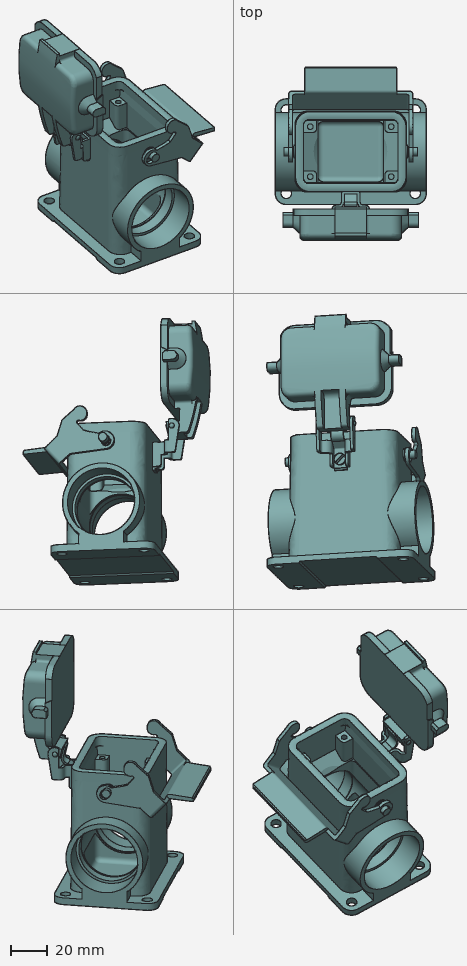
import cadquery as cq
import math

FLANGE_X = 82.0
FLANGE_Y = 57.4
FLANGE_T = 4.0
FLANGE_CORNER_R = 6.0
FLANGE_HOLE_D = 5.6
FLANGE_HOLE_X = 35.0
FLANGE_HOLE_Y = 22.6
FOOT_GAP_X = 43.9
FOOT_GAP_H = 0.9
FOOT_GAP_SLOPE = 0.8

BODY_BASE = (62.1, 44.0)
BODY_TOP = (59.8, 43.2)
BODY_CORNER_R = 7.6
RIM_Z = 67.8
RIM_EDGE_Z = 73.5
RIM_CROWN = 0.4
RIM_W = 4.3

TUBE_Z = 27.1
TUBE_D = 42.5
TUBE_MOUTH_D = 37.0
TUBE_MOUTH_DEPTH = 14.6
TUBE_BORE_D = 34.0
TUBE_RECESS_D = 34.8
TUBE_RECESS_SPAN = 38.8
TUBE_WEB_Y = 24.9

OPENING = (BODY_TOP[0] - 2 * RIM_W, BODY_TOP[1] - 2 * RIM_W)
OPENING_STEP_Z = 68.0
POST_TOP_Z = 62.7
THROAT_Y = 33.6
FUNNEL_BOTTOM_Z = 46.5
FUNNEL_ANGLE = 33.0
CAVITY_X = 35.6
CAVITY_Y = 32.7
CAVITY_CORNER_R = 2.9
BULGE_DEPTH = 2.1
BULGE_R = 34.5
BULGE_BOTTOM_Z = 45.5
POST_X = 18.5
POST_Y = 10.4
POST_R = 2.3
POST_HOLE_D = 3.0
POST_HOLE_X = 22.0
POST_HOLE_Y = 13.5
POST_HOLE_DEPTH = 10.6

PIVOT_Z = 64.1
PIVOT_D = 4.8
PIVOT_SPAN = 72.6
PIVOT_BOSS_D = 7.0
PIVOT_BOSS_SPAN = 61.4
PIVOT_NECK_D = 5.6
PIVOT_NECK_SPAN = 62.7

SHEET_T = 2.1
LEVER_X = 67.3
LEVER_BEND_R = 1.7
LEVER_INNER_R = 1.3
EYE_Y = -0.8
EYE_Z = 62.9
EYE_R = 4.9
SHOULDER_LOW = (31.0, 61.0)
SHOULDER_HIGH = (25.7, 66.1)
NECK = (22.9, 75.0)
HOOK_BACK = (16.4, 80.5)
HOOK_TOP = (13.0, 82.4)
HOOK_FRONT = (9.3, 79.0)
HOOK_NOSE_Z = 77.4
HOOK_NOSE = (10.5, 75.1)
HOOK_UNDERSIDE = (13.2, 74.3)
NOTCH_ARC = ((14.6, 74.0), (14.8, 73.1))
ARM_ROOT = (11.2, 69.0)
ARM_BEND = (8.4, 68.0)
EYE_TOP = (2.4, 66.7)
ARM_LOWER_BEND = (18.3, 56.1)
SLOT_SHIFT = (-1.6, -2.0)
BACK_LOW = (24.6, 50.7)
BACK_HIGH = (32.8, 59.5)
HANDLE_X = 50.0
HANDLE_ROOT = 5.3
HANDLE_END = (46.0, 58.8)
HANDLE_BEND_TOP = (32.2, 62.2)
HANDLE_SETBACK = 0.5
HANDLE_BEND_R = 1.9
HANDLE_CORNER_R = 1.2
HANDLE_TIP_BEVEL = 0.7

LID_BACK_Y = -31.0
LID_PLATE_T = 3.7
LID_TOP_Z = 131.3
LID_BOTTOM_Z = 84.7
LID_UPPER_X = 61.3
LID_LOWER_X = 62.7
LID_CORNER_R = 8.8
LID_STEP_Z = 114.0
LID_STEP_SLOPE = 1.9

DOME_X = 55.3
DOME_TOP_Z = 127.4
DOME_BOTTOM_Z = 88.5
DOME_CORNER_R = 5.5
DOME_EDGE_R = 2.5
FRONT_Y = -48.3
FRONT_R = 115.7
FRONT_APEX_Z = 109.0

TAB_X = 17.3
TAB_TOP_Z = 131.5
TAB_LIP_Z = 133.0
TAB_LIP_Y = -44.1
TAB_CORNER_R = 1.5
ARM_BACK_Y = -37.5
ARM_BOTTOM_Z = 71.3
ARM_TOE_R = 1.6
ARM_INNER_R = 0.7
ARM_SLOT_X = 10.1
ARM_SLOT_TOP_Z = 90.9
ARM_SLOT_FLOOR_Y = -39.1
ARM_SLOT_R = 3.6

PEG_Z = 108.0
PEG_Y = -38.5
PEG_BACK_Y = -33.0
PEG_R = 2.46
PEG_CHAMFER = 1.3
PEG_SPAN = 73.6
PEG_CONE_R = 5.8
PEG_CONE_SPAN = 62.5

HINGE_T = 1.6
HINGE_BASE_Y = -21.4
HINGE_CHANNEL_X = 10.2
HINGE_X = 20.5
HINGE_WING_Y = -28.8
HINGE_BEND_R = 1.6
HINGE_BASE_BEND_R = 1.5
HINGE_TOP_Z = 67.1
HINGE_WING_Z = 60.2
HINGE_BASE_Z = 53.7
HINGE_CHANNEL_Y = -26.6
HINGE_BASE_R = 1.7
EAR_FOOT_R = 0.9
TONGUE_BOTTOM_Z = 52.0
EAR_BACK_Y = -31.5
EAR_FOOT_Y = -35.1
PIN_Y = -33.4
PIN_Z = 74.8
PIN_D = 3.0
PIN_SPAN = 22.1
PIN_DOME = 1.2
EAR_R = 4.0
KNUCKLE_R = 2.8
HEEL_TOP_Y = -29.9
HEEL_LOW = (-31.0, 72.5)

SPRING_X = 7.0
SPRING_BOTTOM_Z = 52.9
SPRING_BACK_Y = -22.9
SPRING_FRONT_Y = -23.9
SPRING_BEND_Z = 64.1
SPRING_RISE_BACK = (-27.4, 67.7)
SPRING_CURL_BACK = ((-29.6, 68.7), (-30.3, 70.6))
SPRING_TIP_BACK = (-28.8, 76.8)
SPRING_TIP_FRONT = (-29.8, 77.1)
SPRING_CURL_FRONT = (-31.2, 70.6)
SPRING_RISE_FRONT = ((-30.5, 68.0), (-27.9, 66.7))
SPRING_BEND_FRONT = (-24.3, 64.0)
SPRING_SEAT_ARC = ((-24.0, 63.7), (SPRING_FRONT_Y, 63.1))
SCREW_D = 6.4
SCREW_HEAD_T = 1.2
SCREW_Z = 57.7
SCREW_SLOT_W = 1.0
SCREW_SLOT_ANGLE = 45
SCREW_SLOT_DEPTH = 0.5

FUNNEL_SLOPE = math.tan(math.radians(FUNNEL_ANGLE))
FAR = 133.0


def rounded_block(size, corner_r, z0, z1):
    """Upright block centred on the Z axis with rounded vertical edges."""
    block = cq.Workplane().workplane(offset=z0).rect(*size).extrude(z1 - z0)
    return block.edges("|Z").fillet(corner_r)


def rounded_rect_sketch(size, corner_r):
    return cq.Sketch().rect(*size).vertices().fillet(corner_r)


def x_cylinder(y, z, diameter, span):
    """Cylinder along X, centred on the middle plane."""
    return cq.Workplane("YZ").center(y, z).circle(diameter / 2).extrude(span / 2, both=True)


def side_prism(points, span):
    """Prism of a (Y, Z) polygon, centred on the middle plane."""
    return cq.Workplane("YZ").polyline(points).close().extrude(span / 2, both=True)


def box_between(x, y, z):
    """Box from three (low, high) ranges."""
    size = [high - low for low, high in (x, y, z)]
    return cq.Workplane().box(*size, centered=False).translate((x[0], y[0], z[0]))


def flange():
    plate = rounded_block((FLANGE_X, FLANGE_Y), FLANGE_CORNER_R, 0, FLANGE_T)
    holes = cq.Workplane().rect(2 * FLANGE_HOLE_X, 2 * FLANGE_HOLE_Y, forConstruction=True).vertices()
    plate = plate.cut(holes.circle(FLANGE_HOLE_D / 2).extrude(FLANGE_T))
    half = FOOT_GAP_X / 2
    inner = half - FOOT_GAP_SLOPE
    outline = [(-half, 0), (-inner, FOOT_GAP_H), (inner, FOOT_GAP_H), (half, 0)]
    channel = cq.Workplane("XZ").polyline(outline).close().extrude(FAR / 2, both=True)
    return plate.cut(channel)


def tapered_body():
    raised = cq.Location(cq.Vector(0, 0, RIM_Z - FOOT_GAP_H))
    lower = (
        cq.Workplane()
        .workplane(offset=FOOT_GAP_H)
        .placeSketch(
            rounded_rect_sketch(BODY_BASE, BODY_CORNER_R),
            rounded_rect_sketch(BODY_TOP, BODY_CORNER_R).moved(raised),
        )
        .loft(ruled=True)
    )
    return lower.union(rounded_block(BODY_TOP, BODY_CORNER_R, RIM_Z, RIM_EDGE_Z))


def rim_crown():
    """Low rounded bead along the top of the rim."""
    middle_size = (BODY_TOP[0] - RIM_W, BODY_TOP[1] - RIM_W)
    path = rounded_block(middle_size, BODY_CORNER_R - RIM_W / 2, RIM_Z, RIM_EDGE_Z).faces(">Z").wires()
    inner_x = OPENING[0] / 2
    outer_x = BODY_TOP[0] / 2
    profile = (
        cq.Workplane("XZ")
        .moveTo(inner_x, RIM_EDGE_Z)
        .threePointArc(((inner_x + outer_x) / 2, RIM_EDGE_Z + RIM_CROWN), (outer_x, RIM_EDGE_Z))
        .close()
    )
    return profile.sweep(path)


def corner_posts():
    """Four screw posts in the corners of the opening."""
    posts = cq.Workplane()
    size_x = OPENING[0] / 2 - POST_X
    size_y = OPENING[1] / 2 - POST_Y
    for side_x in (-1, 1):
        for side_y in (-1, 1):
            post = cq.Workplane().box(size_x, size_y, POST_TOP_Z - FLANGE_T, centered=(True, True, False))
            inner_edge = f"{'<' if side_x > 0 else '>'}X and {'<' if side_y > 0 else '>'}Y"
            post = post.edges("|Z").edges(inner_edge).fillet(POST_R)
            place = (side_x * (POST_X + size_x / 2), side_y * (POST_Y + size_y / 2), FLANGE_T)
            posts = posts.add(post.translate(place))
    return posts.combine()


def cavity():
    opening = rounded_block(OPENING, BODY_CORNER_R - RIM_W, OPENING_STEP_Z, RIM_EDGE_Z + RIM_CROWN)
    half_x = OPENING[0] / 2
    half_y = OPENING[1] / 2
    throat_half = THROAT_Y / 2
    funnel_top_z = FUNNEL_BOTTOM_Z + (half_x - CAVITY_X / 2) * FUNNEL_SLOPE
    throat = side_prism(
        [
            (-throat_half, POST_TOP_Z),
            (throat_half, POST_TOP_Z),
            (half_y, OPENING_STEP_Z),
            (-half_y, OPENING_STEP_Z),
        ],
        OPENING[0],
    )
    funnel_outline = [
        (-CAVITY_X / 2, FUNNEL_BOTTOM_Z),
        (CAVITY_X / 2, FUNNEL_BOTTOM_Z),
        (half_x, funnel_top_z),
        (half_x, POST_TOP_Z),
        (-half_x, POST_TOP_Z),
        (-half_x, funnel_top_z),
    ]
    funnel = cq.Workplane("XZ").polyline(funnel_outline).close().extrude(throat_half, both=True)
    lower = (
        cq.Workplane()
        .workplane(offset=FLANGE_T)
        .rect(CAVITY_X, CAVITY_Y)
        .extrude(FUNNEL_BOTTOM_Z - FLANGE_T)
        .edges("|Z or <Z")
        .fillet(CAVITY_CORNER_R)
    )
    return opening.union(throat).union(funnel.cut(corner_posts())).union(lower)


def wall_bulges():
    """Conical hollows in both end walls, flaring upwards to the sloping faces."""
    top_z = FUNNEL_BOTTOM_Z + BULGE_DEPTH * FUNNEL_SLOPE
    axis_x = CAVITY_X / 2 + BULGE_DEPTH - BULGE_R
    cone = cq.Workplane(
        cq.Solid.makeCone(
            BULGE_R - BULGE_DEPTH,
            BULGE_R,
            top_z - BULGE_BOTTOM_Z,
            pnt=cq.Vector(axis_x, 0, BULGE_BOTTOM_Z),
        )
    )
    right = cone.intersect(
        box_between((0, FAR), (-CAVITY_Y / 2, CAVITY_Y / 2), (BULGE_BOTTOM_Z, top_z))
    )
    return right.union(right.mirror("YZ"))


def post_holes():
    return (
        cq.Workplane()
        .workplane(offset=POST_TOP_Z - POST_HOLE_DEPTH)
        .rect(2 * POST_HOLE_X, 2 * POST_HOLE_Y, forConstruction=True)
        .vertices()
        .circle(POST_HOLE_D / 2)
        .extrude(POST_HOLE_DEPTH)
    )


def tube_mouths():
    """Wider outer ends of the cable entry bore."""
    inside = FLANGE_X - 2 * TUBE_MOUTH_DEPTH
    return x_cylinder(0, TUBE_Z, TUBE_MOUTH_D, FLANGE_X).cut(x_cylinder(0, TUBE_Z, TUBE_MOUTH_D, inside))


def make_housing():
    web = cq.Workplane().box(FLANGE_X, TUBE_WEB_Y, TUBE_Z - FLANGE_T, centered=(True, True, False))
    shell = (
        flange()
        .union(tapered_body())
        .union(rim_crown())
        .union(x_cylinder(0, TUBE_Z, TUBE_D, FLANGE_X))
        .union(web.translate((0, 0, FLANGE_T)))
        .union(x_cylinder(0, PIVOT_Z, PIVOT_BOSS_D, PIVOT_BOSS_SPAN))
        .union(x_cylinder(0, PIVOT_Z, PIVOT_NECK_D, PIVOT_NECK_SPAN))
        .union(x_cylinder(0, PIVOT_Z, PIVOT_D, PIVOT_SPAN))
    )
    return (
        shell.cut(cavity())
        .cut(wall_bulges())
        .cut(post_holes())
        .cut(tube_mouths())
        .cut(x_cylinder(0, TUBE_Z, TUBE_RECESS_D, TUBE_RECESS_SPAN))
        .cut(x_cylinder(0, TUBE_Z, TUBE_BORE_D, FLANGE_X))
    )


def lever_outline():
    """Side outline as one solid block over the full lever width."""
    return (
        cq.Workplane("YZ")
        .moveTo(*BACK_LOW)
        .lineTo(*BACK_HIGH)
        .lineTo(*SHOULDER_LOW)
        .lineTo(*SHOULDER_HIGH)
        .lineTo(*NECK)
        .lineTo(*HOOK_BACK)
        .threePointArc(HOOK_TOP, HOOK_FRONT)
        .lineTo(HOOK_FRONT[0], HOOK_NOSE_Z)
        .threePointArc(HOOK_NOSE, HOOK_UNDERSIDE)
        .threePointArc(*NOTCH_ARC)
        .lineTo(*ARM_ROOT)
        .lineTo(*ARM_BEND)
        .lineTo(*EYE_TOP)
        .threePointArc((EYE_Y - EYE_R, EYE_Z), (EYE_Y, EYE_Z - EYE_R))
        .lineTo(*ARM_LOWER_BEND)
        .close()
        .extrude(LEVER_X / 2, both=True)
    )


def along_back(inset, slide):
    """Point (Y, Z) moved inwards from the upper outer edge of the back plate and slid along the plate."""
    run_y = BACK_HIGH[0] - BACK_LOW[0]
    run_z = BACK_HIGH[1] - BACK_LOW[1]
    length = math.hypot(run_y, run_z)
    y = BACK_HIGH[0] + (slide * run_y - inset * run_z) / length
    z = BACK_HIGH[1] + (slide * run_z + inset * run_y) / length
    return (y, z)


def lever_frame():
    """Two side plates joined by the sloping back plate, with rounded bends."""
    block = lever_outline()
    back_middle_y = (BACK_LOW[0] + BACK_HIGH[0]) / 2
    back_middle_z = (BACK_LOW[1] + BACK_HIGH[1]) / 2
    for side in (-1, 1):
        corner = cq.selectors.NearestToPointSelector((side * LEVER_X / 2, back_middle_y, back_middle_z))
        block = block.edges(corner).fillet(LEVER_BEND_R)
    inside = side_prism(
        [
            along_back(SHEET_T, -FAR),
            along_back(SHEET_T, FAR),
            along_back(FAR, FAR),
            along_back(FAR, -FAR),
        ],
        LEVER_X - 2 * SHEET_T,
    )
    inside = inside.faces(">(0, 1, -1)").edges("not |X").fillet(LEVER_INNER_R)
    return block.cut(inside)


def lever_handle():
    handle = side_prism(
        [
            HANDLE_BEND_TOP,
            along_back(SHEET_T, -HANDLE_SETBACK),
            along_back(SHEET_T, -HANDLE_ROOT),
            along_back(0, -HANDLE_ROOT),
            BACK_HIGH,
            HANDLE_END,
            (HANDLE_END[0], HANDLE_END[1] + SHEET_T),
        ],
        HANDLE_X,
    )
    bend = cq.selectors.NearestToPointSelector((0, *HANDLE_BEND_TOP))
    handle = handle.edges("|X").edges(bend).fillet(HANDLE_BEND_R)
    handle = handle.faces(">Y").edges("|X").edges(">Z").chamfer(HANDLE_TIP_BEVEL)
    return handle.faces(">Y").edges("|Z").fillet(HANDLE_CORNER_R)


def eye_slot():
    """Slanted slot through both eyes, with its upper end on the pivot pin."""
    return (
        cq.Workplane("YZ")
        .center(SLOT_SHIFT[0] / 2, PIVOT_Z + SLOT_SHIFT[1] / 2)
        .slot2D(
            math.hypot(*SLOT_SHIFT) + PIVOT_D,
            PIVOT_D,
            math.degrees(math.atan2(SLOT_SHIFT[1], SLOT_SHIFT[0])),
        )
        .extrude(FAR / 2, both=True)
    )


def make_lever():
    return lever_frame().union(lever_handle()).cut(eye_slot())


def upright_plate(width, z0, z1, corner_r, y_back, depth):
    """Plate facing -Y with four rounded corners."""
    plate = box_between((-width / 2, width / 2), (y_back - depth, y_back), (z0, z1))
    return plate.edges("|Y").fillet(corner_r)


def front_curve():
    """Large cylinder whose surface is the curved front of the lid."""
    return x_cylinder(FRONT_Y + FRONT_R, FRONT_APEX_Z, 2 * FRONT_R, FAR)


def lid_plate():
    plate = upright_plate(LID_LOWER_X, LID_BOTTOM_Z, LID_TOP_Z, LID_CORNER_R, LID_BACK_Y, LID_PLATE_T)
    front_y = LID_BACK_Y - LID_PLATE_T
    above_step = [
        (LID_BACK_Y, LID_STEP_Z),
        (LID_BACK_Y, LID_TOP_Z),
        (front_y, LID_TOP_Z),
        (front_y, LID_STEP_Z - LID_STEP_SLOPE),
    ]
    side_strips = side_prism(above_step, LID_LOWER_X).cut(side_prism(above_step, LID_UPPER_X))
    return plate.cut(side_strips)


def lid_dome():
    dome = upright_plate(DOME_X, DOME_BOTTOM_Z, DOME_TOP_Z, DOME_CORNER_R, LID_BACK_Y, LID_BACK_Y - FRONT_Y)
    return dome.intersect(front_curve()).faces("<Y").edges().fillet(DOME_EDGE_R)


def lid_spine():
    """Central strip: lip at the top, two hinge arms and the knuckle at the bottom."""
    spine = side_prism(
        [
            (LID_BACK_Y, TAB_TOP_Z),
            (TAB_LIP_Y, TAB_TOP_Z),
            (TAB_LIP_Y, TAB_LIP_Z),
            (FRONT_Y, TAB_LIP_Z),
            (FRONT_Y, ARM_BOTTOM_Z),
            (PIN_Y, ARM_BOTTOM_Z),
            HEEL_LOW,
            (HEEL_TOP_Y, PIN_Z + KNUCKLE_R),
            (ARM_BACK_Y, PIN_Z + KNUCKLE_R),
            (ARM_BACK_Y, LID_BOTTOM_Z),
            (LID_BACK_Y, LID_BOTTOM_Z),
        ],
        TAB_X,
    )
    for inner_z in (LID_BOTTOM_Z, PIN_Z + KNUCKLE_R):
        corner = cq.selectors.NearestToPointSelector((0, ARM_BACK_Y, inner_z))
        spine = spine.edges("|X").edges(corner).fillet(ARM_INNER_R)
    spine = spine.intersect(front_curve())
    return spine.faces("<Z").edges("<Y").fillet(ARM_TOE_R)


def tab_gussets():
    """Concave fillets where the sides of the central strip leave the dome."""
    depth = (FRONT_Y + FRONT_R - math.sqrt(FRONT_R**2 - (DOME_TOP_Z - FRONT_APEX_Z) ** 2)) + DOME_EDGE_R
    gussets = cq.Workplane()
    for side in (-1, 1):
        for wall_z, outward in ((DOME_TOP_Z, 1), (DOME_BOTTOM_Z, -1)):
            x = side * TAB_X / 2
            block = box_between(
                sorted((x, x + side * TAB_CORNER_R)),
                (depth, LID_BACK_Y),
                sorted((wall_z, wall_z + outward * TAB_CORNER_R)),
            )
            hollow = (
                cq.Workplane("XZ", origin=(x + side * TAB_CORNER_R, 0, wall_z + outward * TAB_CORNER_R))
                .circle(TAB_CORNER_R)
                .extrude(FAR)
            )
            gussets = gussets.add(block.cut(hollow))
    return gussets


def arm_slot():
    slot = box_between(
        (-ARM_SLOT_X / 2, ARM_SLOT_X / 2), (FRONT_Y, ARM_SLOT_FLOOR_Y), (0, ARM_SLOT_TOP_Z)
    )
    return slot.edges(">Y and >Z").fillet(ARM_SLOT_R)


def peg_profile(x):
    """Peg cross-section: chamfered flat side at the back, round side at the front."""
    return (
        cq.Workplane("YZ", origin=(x, 0, 0))
        .moveTo(PEG_Y, PEG_Z - PEG_R)
        .lineTo(PEG_BACK_Y, PEG_Z - PEG_R)
        .lineTo(PEG_BACK_Y, PEG_Z + PEG_R - PEG_CHAMFER)
        .lineTo(PEG_BACK_Y - PEG_CHAMFER, PEG_Z + PEG_R)
        .lineTo(PEG_Y, PEG_Z + PEG_R)
        .threePointArc((PEG_Y - PEG_R, PEG_Z), (PEG_Y, PEG_Z - PEG_R))
        .close()
    )


def shoulder_profile(plane, radius):
    back = LID_BACK_Y - LID_PLATE_T
    return (
        plane.moveTo(PEG_Y, PEG_Z - radius)
        .lineTo(back, PEG_Z - radius)
        .lineTo(back, PEG_Z + radius)
        .lineTo(PEG_Y, PEG_Z + radius)
        .threePointArc((PEG_Y - radius, PEG_Z), (PEG_Y, PEG_Z - radius))
        .close()
    )


def lid_peg():
    """Locking peg on the +X side with its sloping shoulder."""
    root_x = DOME_X / 2
    shoulder_l = PEG_CONE_SPAN / 2 - root_x
    shoulder = shoulder_profile(cq.Workplane("YZ", origin=(root_x, 0, 0)), PEG_CONE_R)
    tip_plane = shoulder.workplane(offset=shoulder_l, origin=(root_x, 0, 0))
    shoulder = shoulder_profile(tip_plane, PEG_R).loft(ruled=True)
    return shoulder.union(peg_profile(root_x).extrude(PEG_SPAN / 2 - root_x))


def make_lid():
    peg = lid_peg()
    lid = lid_plate().union(lid_dome()).union(lid_spine()).cut(arm_slot())
    for gusset in tab_gussets().vals():
        lid = lid.union(cq.Workplane(gusset))
    lid = lid.union(peg).union(peg.mirror("YZ"))
    return lid.cut(x_cylinder(PIN_Y, PIN_Z, PIN_D, FAR))


def hinge_sheet():
    """Bent sheet: base on the housing, channel sides, wings and ears, at full height."""
    channel = HINGE_CHANNEL_X / 2
    outer = HINGE_X / 2
    front = EAR_BACK_Y - 2 * EAR_R
    right_side = [
        (channel, HINGE_BASE_Y),
        (channel, HINGE_WING_Y),
        (outer, HINGE_WING_Y),
        (outer, front),
        (outer - HINGE_T, front),
        (outer - HINGE_T, HINGE_WING_Y - HINGE_T),
        (channel - HINGE_T, HINGE_WING_Y - HINGE_T),
        (channel - HINGE_T, HINGE_BASE_Y - HINGE_T),
    ]
    left_side = [(-x, y) for x, y in reversed(right_side)]
    sheet = (
        cq.Workplane()
        .workplane(offset=HINGE_BASE_Z)
        .polyline(right_side + left_side)
        .close()
        .extrude(PIN_Z + EAR_R - HINGE_BASE_Z)
    )
    outer_r = HINGE_BEND_R + HINGE_T
    ear_r = HINGE_WING_Y - EAR_BACK_Y
    mid_z = (HINGE_BASE_Z + PIN_Z + EAR_R) / 2
    bends = [
        (channel, HINGE_BASE_Y, HINGE_BASE_BEND_R),
        (channel, HINGE_WING_Y, HINGE_BEND_R),
        (channel - HINGE_T, HINGE_WING_Y - HINGE_T, outer_r),
        (outer, HINGE_WING_Y, ear_r),
        (outer - HINGE_T, HINGE_WING_Y - HINGE_T, ear_r - HINGE_T),
    ]
    for x, y, radius in bends:
        for side in (-1, 1):
            corner = cq.selectors.NearestToPointSelector((side * x, y, mid_z))
            sheet = sheet.edges("|Z").edges(corner).fillet(radius)
    return sheet


def hinge_silhouette():
    """Side outline that trims the bent sheet."""
    base = side_prism(
        [
            (HINGE_BASE_Y, HINGE_BASE_Z),
            (HINGE_CHANNEL_Y, HINGE_BASE_Z),
            (HINGE_CHANNEL_Y, HINGE_WING_Z),
            (EAR_BACK_Y, HINGE_WING_Z),
            (EAR_BACK_Y, HINGE_TOP_Z),
            (HINGE_BASE_Y, HINGE_TOP_Z),
        ],
        FAR,
    )
    base = base.faces("<Z").edges("<Y").fillet(HINGE_BASE_R)
    back_z = PIN_Z + math.sqrt(EAR_R**2 - (EAR_BACK_Y - PIN_Y) ** 2)
    ear = (
        cq.Workplane("YZ")
        .moveTo(EAR_BACK_Y, HINGE_WING_Z)
        .lineTo(EAR_FOOT_Y, HINGE_WING_Z)
        .lineTo(PIN_Y - EAR_R, PIN_Z)
        .threePointArc((PIN_Y, PIN_Z + EAR_R), (EAR_BACK_Y, back_z))
        .close()
        .extrude(FAR / 2, both=True)
    )
    foot = cq.selectors.NearestToPointSelector((0, EAR_FOOT_Y, HINGE_WING_Z))
    ear = ear.edges("|X").edges(foot).fillet(EAR_FOOT_R)
    return base.union(ear)


def base_tongue():
    """Narrow tongue of the hinge base below its channel sides."""
    half = SPRING_X / 2
    return box_between((-half, half), (HINGE_BASE_Y - HINGE_T, HINGE_BASE_Y), (TONGUE_BOTTOM_Z, HINGE_BASE_Z))


def leaf_spring():
    """Spring strip: flat under the screw, curving out and up towards the knuckle."""
    return (
        cq.Workplane("YZ")
        .moveTo(SPRING_BACK_Y, SPRING_BOTTOM_Z)
        .lineTo(SPRING_BACK_Y, SPRING_BEND_Z)
        .lineTo(*SPRING_RISE_BACK)
        .threePointArc(*SPRING_CURL_BACK)
        .lineTo(*SPRING_TIP_BACK)
        .lineTo(*SPRING_TIP_FRONT)
        .lineTo(*SPRING_CURL_FRONT)
        .threePointArc(*SPRING_RISE_FRONT)
        .lineTo(*SPRING_BEND_FRONT)
        .threePointArc(*SPRING_SEAT_ARC)
        .lineTo(SPRING_FRONT_Y, SPRING_BOTTOM_Z)
        .close()
        .extrude(SPRING_X / 2, both=True)
    )


def screw_head():
    head = cq.Workplane("XZ", origin=(0, SPRING_FRONT_Y, SCREW_Z)).circle(SCREW_D / 2).extrude(SCREW_HEAD_T)
    slot = (
        cq.Workplane("XZ", origin=(0, SPRING_FRONT_Y - SCREW_HEAD_T + SCREW_SLOT_DEPTH, SCREW_Z))
        .transformed(rotate=(0, 0, SCREW_SLOT_ANGLE))
        .rect(2 * SCREW_D, SCREW_SLOT_W)
        .extrude(SCREW_HEAD_T)
    )
    return head.cut(slot)


def hinge_pin():
    return x_cylinder(PIN_Y, PIN_Z, PIN_D, PIN_SPAN).faces("<X or >X").edges().fillet(PIN_DOME)


def make_hinge(housing_body):
    sheet = hinge_sheet().intersect(hinge_silhouette())
    hinge = sheet.union(base_tongue()).union(leaf_spring()).union(screw_head()).union(hinge_pin())
    return hinge.cut(housing_body)


housing = make_housing()
lever = make_lever()
lid = make_lid()
hinge = make_hinge(housing)

bodies = (housing, lever, lid, hinge)
result = cq.Compound.makeCompound([body.solids().val() for body in bodies])